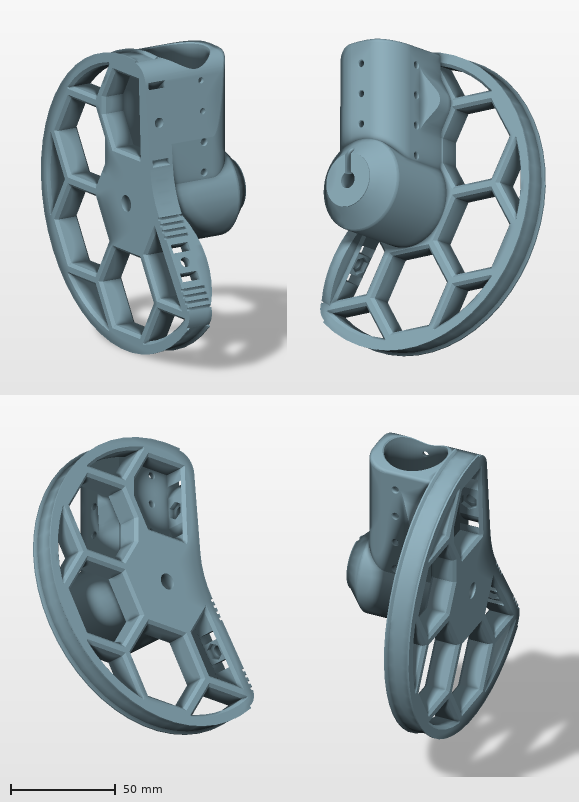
import cadquery as cq
import math

RIM_RADIUS = 72.9
GROOVE_RADIUS = 71.7
PLATE_THICKNESS = 13.0
FLANGE_LAND = 0.7
FLANGE_HEIGHT = RIM_RADIUS - GROOVE_RADIUS
FAR = 2 * RIM_RADIUS

UPPER_EDGE_TILT = 5.4
UPPER_EDGE_OFFSET = 22.5
LOWER_EDGE_TILT = 32.3
LOWER_EDGE_OFFSET = 23.5
TOP_CORNER_RADIUS = 10.2
LOWER_CORNER_RADIUS = 8.7
INNER_CORNER_RADIUS = 48.1

HEX_PITCH = 43.9
HEX_FLATS = 38.0
HEX_CHAMFER = 1.5
CHAMFER_ANGLE = 45
OPENING_RADIUS = 66.8
POCKET_DEPTH = PLATE_THICKNESS - HEX_CHAMFER
POCKET_WALL_TILT = 2.5
POCKET_WALL_OFFSET = 12.1
OPENING_WALL = -19.5

HUB_RADIUS = 22.7
HUB_LENGTH = 60.0
HUB_TIP_RADIUS = 13.1
HUB_TIP_LAND = 0.5
HUB_CONE_END = HUB_LENGTH - HUB_TIP_LAND
HUB_CONE_START = HUB_CONE_END - (HUB_RADIUS - HUB_TIP_RADIUS)
HUB_FILLET = 2.0
HUB_BORE = 8.2
KEY_WIDTH = 3.6
KEY_DEPTH = 4.0

TOWER_LEFT = -19.2
TOWER_RIGHT = 19.5
TOWER_BACK = 50.0
TOWER_CORNER_RADIUS = 13.5
TOWER_TOP_FILLET = 1.7
SOCKET_DIAMETER = 30.8
SOCKET_CHAMFER = 0.6
SOCKET_Y = 29.6
SOCKET_FLOOR = 7.3
PIN_HOLE = 3.0
PIN_COUNTERSINK = 4.0
PIN_TOP_Z = 59.9
PIN_SIDE_Y = 31.6
SIDE_PINS = 4
PIN_SPAN = 44.9
PIN_PITCH = PIN_SPAN / (SIDE_PINS - 1)
FRONT_PINS = 3

BULGE_Z = 44.0
BULGE_HEIGHT = 6.3
BULGE_FLANK_ANGLE = 30
BULGE_ROUND = 9.8
BULGE_SLOPE_Y = 27.7
BULGE_ROOT_FILLET = 3.4
BULGE_OVERLAP = 1.5

ANCHOR_BOLT = 5.0
NUT_FLATS = 8.0
NUT_DEPTH = 2.6
STRAP_WIDTH = 9.8
UPPER_ANCHOR_S = 42.3
LOWER_ANCHOR_S = -39.2
UPPER_INSIDE = POCKET_WALL_OFFSET
EDGE_WALL = 7.3
LOWER_INSIDE = LOWER_EDGE_OFFSET - EDGE_WALL
ARC_STRAP_CENTRE = 18.2
ARC_STRAP_RADIUS = 19.8
LOWER_STRAP_SPACING = 14.7
LOWER_STRAP_GAP = 4.4
ARC_STRAP_GAP = 3.0
GRIP_RADIUS = 0.9
GRIP_DEPTH = 0.6
GRIP_PITCH = 3.2
GRIP_FIRST = 13.4
GRIP_COUNT = 4
DOME_HALF_CHORD = 23.0
DOME_HEIGHT = 5.8
DOME_INSIDE = LOWER_INSIDE + HEX_CHAMFER


def slab(y_start):
    """Workplane for outlines in X and Z; extrude a negative length to grow toward +Y."""
    return cq.Workplane("XZ", origin=(0, y_start, 0))


def across_corners(flats):
    """Corner-to-corner size of a hexagon from its size across flats."""
    return 2 * flats / math.sqrt(3)


def on_edge(shape, tilt):
    """Turn a feature built on a vertical edge (outward +X, along Z) onto a straight edge."""
    return shape.rotate((0, 0, 0), (0, 1, 0), -tilt)


def edge_crossing():
    """Point (x, z) where the two straight edges would meet."""
    a = math.radians(UPPER_EDGE_TILT)
    b = math.radians(LOWER_EDGE_TILT)
    det = math.sin(b - a)
    x = (UPPER_EDGE_OFFSET * math.sin(b) - LOWER_EDGE_OFFSET * math.sin(a)) / det
    z = (LOWER_EDGE_OFFSET * math.cos(a) - UPPER_EDGE_OFFSET * math.cos(b)) / det
    return x, z


def corner_angle(tilt, offset, radius, side):
    """Direction from the hub axis to the point where a rounded corner meets the rim."""
    spread = math.acos((offset - radius) / (GROOVE_RADIUS - radius))
    return math.radians(tilt) + side * spread


def make_body(length):
    """Disc cut off by the two straight edges, with rounded corners."""
    x, z = edge_crossing()
    a = math.radians(UPPER_EDGE_TILT)
    b = math.radians(LOWER_EDGE_TILT)
    upper_end = (x - FAR * math.sin(a), z + FAR * math.cos(a))
    lower_end = (x + FAR * math.sin(b), z - FAR * math.cos(b))
    kept = slab(0).polyline([
        (-FAR, FAR), upper_end, (x, z), lower_end, (-FAR, lower_end[1]),
    ]).close().extrude(-length)
    body = slab(0).circle(GROOVE_RADIUS).extrude(-length).intersect(kept)
    body = body.edges("|Y").edges(">Z").fillet(TOP_CORNER_RADIUS)
    body = body.edges("|Y").edges(cq.NearestToPointSelector((x, length / 2, z))).fillet(INNER_CORNER_RADIUS)
    return body.edges("|Y").edges("<Z").fillet(LOWER_CORNER_RADIUS)


def make_flanges():
    """Pair of thin rim flanges, left out between the two rounded corners."""
    t = PLATE_THICKNESS
    ramp_end = FLANGE_LAND + FLANGE_HEIGHT
    disc = cq.Workplane("XY").polyline([
        (0, 0), (RIM_RADIUS, 0), (RIM_RADIUS, FLANGE_LAND), (GROOVE_RADIUS, ramp_end),
        (GROOVE_RADIUS, t - ramp_end), (RIM_RADIUS, t - FLANGE_LAND), (RIM_RADIUS, t), (0, t),
    ]).close().revolve(360, (0, 0, 0), (0, 1, 0))
    start = corner_angle(UPPER_EDGE_TILT, UPPER_EDGE_OFFSET, TOP_CORNER_RADIUS, 1)
    end = corner_angle(LOWER_EDGE_TILT, LOWER_EDGE_OFFSET, LOWER_CORNER_RADIUS, -1)
    gap = slab(0).polyline([
        (0, 0), (FAR * math.cos(end), FAR * math.sin(end)), (FAR, 0), (FAR, FAR),
        (FAR * math.cos(start), FAR * math.sin(start)),
    ]).close().extrude(-t)
    return disc.cut(gap)


def make_hub():
    """Round hub behind the plate with a conical tip."""
    hub = cq.Workplane("XY").polyline([
        (0, 0), (HUB_RADIUS, 0), (HUB_RADIUS, HUB_CONE_START),
        (HUB_TIP_RADIUS, HUB_CONE_END), (HUB_TIP_RADIUS, HUB_LENGTH), (0, HUB_LENGTH),
    ]).close().revolve(360, (0, 0, 0), (0, 1, 0))
    rim = cq.NearestToPointSelector((0, HUB_CONE_START, 0))
    return hub.edges("%CIRCLE").edges(rim).fillet(HUB_FILLET)


def make_tower():
    """Upright block over the hub, following the plate outline at the top and on the right."""
    base = PLATE_THICKNESS / 2
    width = TOWER_RIGHT - TOWER_LEFT
    block = cq.Workplane("XY").rect(width, TOWER_BACK - base).extrude(RIM_RADIUS)
    block = block.translate(((TOWER_LEFT + TOWER_RIGHT) / 2, (TOWER_BACK + base) / 2, 0))
    block = block.edges("|Z and >Y").fillet(TOWER_CORNER_RADIUS)
    tower = block.intersect(make_body(TOWER_BACK))
    left_top_z = math.sqrt(GROOVE_RADIUS ** 2 - TOWER_LEFT ** 2)
    left_mid_y = (base + TOWER_BACK - TOWER_CORNER_RADIUS) / 2
    top_left = cq.NearestToPointSelector((TOWER_LEFT, left_mid_y, left_top_z))
    return tower.edges(top_left).fillet(TOWER_TOP_FILLET)


def make_bulge():
    """Blunt hexagon corner on the tower's left wall, closed at the back by a 45 degree slope."""
    r = BULGE_ROUND

    def arc_point(angle):
        return r * (1 - math.cos(math.radians(angle))), r * math.sin(math.radians(angle))

    x_end, z_end = arc_point(BULGE_FLANK_ANGLE)
    x_mid, z_mid = arc_point(BULGE_FLANK_ANGLE / 2)
    flank_rise = BULGE_HEIGHT - 2 * x_end
    half = 2 * z_end + flank_rise / math.tan(math.radians(BULGE_FLANK_ANGLE))
    tip = TOWER_LEFT - BULGE_HEIGHT
    overlap = TOWER_LEFT + BULGE_OVERLAP
    front = PLATE_THICKNESS / 2
    prism = (
        slab(front).center(0, BULGE_Z)
        .moveTo(TOWER_LEFT, -half)
        .threePointArc((TOWER_LEFT - x_mid, z_mid - half), (TOWER_LEFT - x_end, z_end - half))
        .lineTo(tip + x_end, -z_end)
        .threePointArc((tip, 0), (tip + x_end, z_end))
        .lineTo(TOWER_LEFT - x_end, half - z_end)
        .threePointArc((TOWER_LEFT - x_mid, half - z_mid), (TOWER_LEFT, half))
        .lineTo(overlap, half)
        .lineTo(overlap, -half)
        .close().extrude(-TOWER_BACK)
    )
    back = BULGE_SLOPE_Y + BULGE_ROOT_FILLET
    low = BULGE_SLOPE_Y - 2 * BULGE_HEIGHT
    slope = cq.Workplane("XY", origin=(0, 0, BULGE_Z)).polyline([
        (overlap, front), (TOWER_LEFT - 2 * BULGE_HEIGHT, front), (TOWER_LEFT - 2 * BULGE_HEIGHT, low),
        (TOWER_LEFT, BULGE_SLOPE_Y), (TOWER_LEFT, back), (overlap, back),
    ]).close().extrude(half, both=True)
    slope = slope.edges("|Z").edges(cq.NearestToPointSelector((TOWER_LEFT, BULGE_SLOPE_Y, BULGE_Z)))
    slope = slope.fillet(BULGE_ROOT_FILLET)
    return prism.intersect(slope)


def chamfered(outline):
    """Prism through the plate whose outline grows by the chamfer at both faces."""
    straight = outline(slab(0), 0).extrude(-PLATE_THICKNESS)
    mouth = outline(slab(0), HEX_CHAMFER).extrude(-HEX_CHAMFER, taper=CHAMFER_ANGLE)
    back_mouth = mouth.mirror("XZ", (0, PLATE_THICKNESS / 2, 0))
    return straight.union(mouth).union(back_mouth)


def hex_opening(column, row, limit=None):
    """Hexagon of the honeycomb inside the rim; a limit trims it further."""
    x = column * HEX_PITCH * math.sqrt(3) / 2
    z = row * HEX_PITCH / 2
    opening = chamfered(
        lambda plane, grow: plane.center(x, z).polygon(6, across_corners(HEX_FLATS + 2 * grow))
    )
    opening = opening.intersect(chamfered(lambda plane, grow: plane.circle(OPENING_RADIUS + grow)))
    return opening if limit is None else opening.intersect(limit)


def left_limit(wall_x):
    """Space left of a vertical wall, with the chamfers of the openings."""
    return chamfered(lambda plane, grow: plane.center(wall_x + grow - FAR, 0).rect(2 * FAR, 2 * FAR))


def right_limit(wall_x):
    """Space right of a vertical wall, with the chamfers of the openings."""
    return chamfered(lambda plane, grow: plane.center(wall_x - grow + FAR, 0).rect(2 * FAR, 2 * FAR))


def cut_openings(part):
    """Honeycomb openings through the plate, and the blind pocket in front of the tower."""
    through = [
        hex_opening(-2, 0),
        hex_opening(-1, 3),
        hex_opening(-1, 1, left_limit(OPENING_WALL)),
        hex_opening(-1, -1),
        hex_opening(-1, -3),
        hex_opening(0, -2),
        hex_opening(1, -3),
        hex_opening(1, -1, on_edge(left_limit(LOWER_INSIDE), LOWER_EDGE_TILT)),
    ]
    for opening in through:
        part = part.cut(opening)
    pocket = hex_opening(0, 2, on_edge(left_limit(POCKET_WALL_OFFSET), POCKET_WALL_TILT))
    pocket = pocket.intersect(right_limit(OPENING_WALL))
    return part.cut(pocket.intersect(slab(0).rect(2 * FAR, 2 * FAR).extrude(-POCKET_DEPTH)))


def drill(start, direction, diameter, depth):
    """Round cutter from a start point along a direction."""
    return cq.Workplane(cq.Solid.makeCylinder(diameter / 2, depth, cq.Vector(*start), cq.Vector(*direction)))


def pin_hole(start, direction, depth):
    """Through hole with a 45 degree countersink at both ends."""
    flare = (PIN_COUNTERSINK - PIN_HOLE) / 2
    profile = cq.Workplane("XY").polyline([
        (0, 0), (PIN_COUNTERSINK / 2, 0), (PIN_HOLE / 2, flare),
        (PIN_HOLE / 2, depth - flare), (PIN_COUNTERSINK / 2, depth), (0, depth),
    ]).close().revolve(360, (0, 0, 0), (0, 1, 0))
    if direction == "X":
        profile = profile.rotate((0, 0, 0), (0, 0, 1), -90)
    return profile.translate(start)


def cut_socket(part):
    """Vertical blind bore in the tower with its cross pin holes."""
    height = RIM_RADIUS - SOCKET_FLOOR
    part = part.cut(drill((0, SOCKET_Y, SOCKET_FLOOR), (0, 0, 1), SOCKET_DIAMETER, height))
    mouth_x = -SOCKET_DIAMETER / 4
    mouth = cq.NearestToPointSelector((mouth_x, SOCKET_Y, GROOVE_RADIUS))
    part = part.edges(mouth).chamfer(SOCKET_CHAMFER)
    for i in range(SIDE_PINS):
        z = PIN_TOP_Z - i * PIN_PITCH
        part = part.cut(pin_hole((TOWER_LEFT, PIN_SIDE_Y, z), "X", TOWER_RIGHT - TOWER_LEFT))
    for i in range(FRONT_PINS):
        z = PIN_TOP_Z - i * PIN_PITCH
        part = part.cut(pin_hole((0, POCKET_DEPTH, z), "Y", TOWER_BACK - POCKET_DEPTH))
    return part


def cut_hub(part):
    """Axial bore, and a round-bottomed key slot in the upper half of the tip."""
    part = part.cut(drill((0, 0, 0), (0, 1, 0), HUB_BORE, HUB_LENGTH))
    slot_y = HUB_LENGTH - KEY_DEPTH + KEY_WIDTH / 2
    part = part.cut(drill((0, slot_y, 0), (0, 0, 1), KEY_WIDTH, HUB_RADIUS))
    mouth = cq.Workplane("XY").box(KEY_WIDTH, HUB_LENGTH - slot_y, HUB_RADIUS, centered=(True, True, False))
    return part.cut(mouth.translate((0, (HUB_LENGTH + slot_y) / 2, 0)))


def make_dome():
    """Arched boss behind the wall of the lower edge."""
    root_y = PLATE_THICKNESS / 2
    base_y = PLATE_THICKNESS
    dome = (
        cq.Workplane("YZ", origin=(DOME_INSIDE, 0, LOWER_ANCHOR_S))
        .moveTo(root_y, -DOME_HALF_CHORD)
        .lineTo(base_y, -DOME_HALF_CHORD)
        .threePointArc((base_y + DOME_HEIGHT, 0), (base_y, DOME_HALF_CHORD))
        .lineTo(root_y, DOME_HALF_CHORD)
        .close().extrude(LOWER_EDGE_OFFSET - DOME_INSIDE)
    )
    return on_edge(dome, LOWER_EDGE_TILT)


def make_anchor(inside, along):
    """Bolt hole with a hexagonal nut recess on the inner side of an edge wall."""
    mid_y = PLATE_THICKNESS / 2
    bolt = drill((inside, mid_y, along), (1, 0, 0), ANCHOR_BOLT, 2 * EDGE_WALL)
    nut = cq.Workplane("YZ", origin=(inside, mid_y, along)).polygon(6, across_corners(NUT_FLATS))
    nut = nut.extrude(NUT_DEPTH).rotate((0, mid_y, along), (1, mid_y, along), 90)
    return bolt.union(nut)


def curved_straps(inside, along):
    """Pair of arc-shaped strap channels that spread apart toward the outside."""
    start_y = (PLATE_THICKNESS - STRAP_WIDTH) / 2
    ring = slab(start_y).center(inside + ARC_STRAP_CENTRE, along)
    ring = ring.circle(ARC_STRAP_RADIUS + ARC_STRAP_GAP).circle(ARC_STRAP_RADIUS).extrude(-STRAP_WIDTH)
    wall = slab(0).center(inside + EDGE_WALL, along).rect(2 * EDGE_WALL, FAR).extrude(-PLATE_THICKNESS)
    return ring.intersect(wall)


def straight_straps(inside, along):
    """Pair of straight strap slots through the wall."""
    start_y = (PLATE_THICKNESS - STRAP_WIDTH) / 2
    slots = slab(start_y).center(inside + EDGE_WALL, along)
    slots = slots.pushPoints([(0, -LOWER_STRAP_SPACING / 2), (0, LOWER_STRAP_SPACING / 2)])
    return slots.rect(2 * EDGE_WALL, LOWER_STRAP_GAP).extrude(-STRAP_WIDTH)


def cut_grips(part):
    """Fine grooves across the lower edge, in two groups beside its strap channels."""
    for side in (-1, 1):
        for i in range(GRIP_COUNT):
            z = LOWER_ANCHOR_S + side * (GRIP_FIRST + i * GRIP_PITCH)
            start = (LOWER_EDGE_OFFSET - GRIP_DEPTH, 0, z)
            groove = drill(start, (0, 1, 0), 2 * GRIP_RADIUS, PLATE_THICKNESS)
            part = part.cut(on_edge(groove, LOWER_EDGE_TILT))
    return part


result = make_body(PLATE_THICKNESS).union(make_flanges()).union(make_hub())
result = result.union(make_tower()).union(make_bulge()).union(make_dome())
result = cut_openings(result)
result = cut_socket(result)
result = cut_hub(result)
result = result.cut(on_edge(make_anchor(UPPER_INSIDE, UPPER_ANCHOR_S), POCKET_WALL_TILT))
result = result.cut(on_edge(curved_straps(UPPER_INSIDE, UPPER_ANCHOR_S), POCKET_WALL_TILT))
result = result.cut(on_edge(make_anchor(LOWER_INSIDE, LOWER_ANCHOR_S), LOWER_EDGE_TILT))
result = result.cut(on_edge(straight_straps(LOWER_INSIDE, LOWER_ANCHOR_S), LOWER_EDGE_TILT))
result = cut_grips(result)